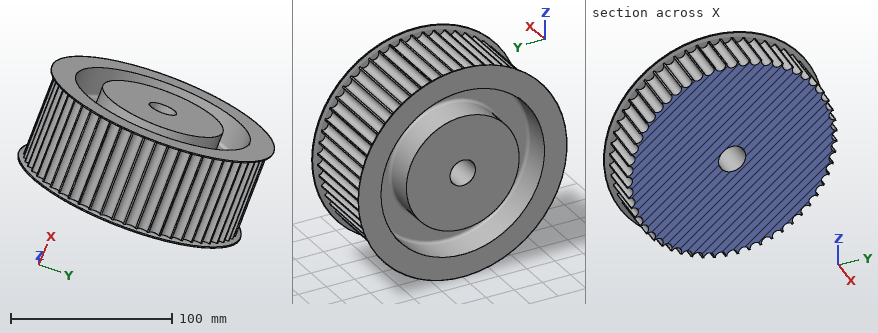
import cadquery as cq
import math

width = 60.0
bore_diameter = 18.0

tooth_count = 56
belt_pitch = 8.0
pitch_line_offset = 0.686
pitch_diameter = tooth_count * belt_pitch / math.pi
tooth_tip_radius = pitch_diameter / 2 - pitch_line_offset
groove_depth = 3.45
land_width = 1.1

flange_radius = 148.0 / 2
flange_thickness = 1.5
rim_thickness = 0.9
rim_taper = 0.2
rim_inner_radius = flange_radius - rim_taper
shoulder_radius = 71.0

recess_outer_radius = 116.0 / 2
hub_radius = 80.0 / 2
recess_depth = 20.0
recess_fillet = 2.0


def disc(radius, start, length):
    """Solid cylinder along X, beginning at x = start."""
    return cq.Workplane("YZ", origin=(start, 0, 0)).circle(radius).extrude(length)


def end_to_end(solid):
    """The feature of the x = 0 end, mirrored to the other end."""
    return solid.mirror("YZ", (width / 2, 0, 0))


def revolved(profile):
    """Turn a closed (x, radius) profile about the pulley axis."""
    return profile.close().revolve(360, (0, 0, 0), (1, 0, 0))


def make_flange():
    profile = (
        cq.Workplane("XY")
        .lineTo(0, flange_radius)
        .lineTo(rim_thickness, rim_inner_radius)
        .lineTo(flange_thickness, shoulder_radius)
        .lineTo(flange_thickness, 0)
    )
    return revolved(profile)


def make_recess():
    floor_start = recess_depth - recess_fillet
    profile = (
        cq.Workplane("XY")
        .moveTo(0, hub_radius)
        .lineTo(floor_start, hub_radius)
        .radiusArc((recess_depth, hub_radius + recess_fillet), -recess_fillet)
        .lineTo(recess_depth, recess_outer_radius - recess_fillet)
        .radiusArc((floor_start, recess_outer_radius), -recess_fillet)
        .lineTo(0, recess_outer_radius)
    )
    return revolved(profile)


def make_toothed_rim():
    """Disc with a circular-arc groove between each pair of narrow lands."""
    half_pitch_angle = math.pi / tooth_count
    half_land_angle = land_width / 2 / tooth_tip_radius
    half_groove_angle = half_pitch_angle - half_land_angle
    half_mouth = tooth_tip_radius * math.sin(half_groove_angle)
    mouth_radius = tooth_tip_radius * math.cos(half_groove_angle)
    arc_height = mouth_radius - (tooth_tip_radius - groove_depth)
    groove_radius = (half_mouth**2 + arc_height**2) / (2 * arc_height)
    groove_center = tooth_tip_radius - groove_depth + groove_radius

    grooves = (
        cq.Workplane("YZ", origin=(flange_thickness, 0, 0))
        .polarArray(groove_center, 0, 360, tooth_count)
        .circle(groove_radius)
        .extrude(width - 2 * flange_thickness)
    )
    return disc(tooth_tip_radius, 0, width).cut(grooves)


flange = make_flange()
recess = make_recess()
bore = disc(bore_diameter / 2, 0, width)

result = make_toothed_rim().union(flange).union(end_to_end(flange))
result = result.cut(recess).cut(end_to_end(recess)).cut(bore)